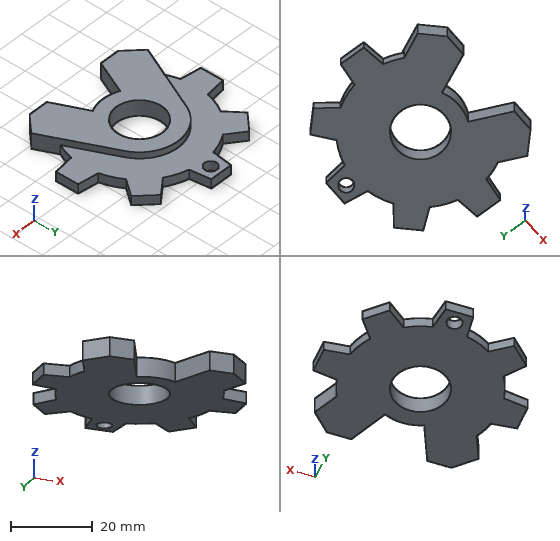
import cadquery as cq
import math

gear_thickness = 3.0
root_radius = 20.65
tip_distance = 26.65
tooth_tip_half_width = 3.65
tooth_root_half_width = 4.5
tooth_root_inset = 16.0
tooth_angles = (0, 45, 90, 135, 180)
pin_hole_diameter = 3.95
pin_hole_distance = 23.25

arm_thickness = 5.0
crown_radius = 12.55
hub_radius = 11.95
bore_diameter = 14.95
gap_top_half_width = 5.05
gap_bottom_half_width = 9.9

arm_corner_far = (tip_distance + tooth_tip_half_width) / math.sqrt(2)
arm_corner_near = (tip_distance - tooth_tip_half_width) / math.sqrt(2)

corner_distance = math.hypot(arm_corner_far, arm_corner_near)
corner_angle = math.atan2(-arm_corner_near, arm_corner_far)
tangent_angle = corner_angle + math.acos(crown_radius / corner_distance)
tangent_x = crown_radius * math.cos(tangent_angle)
tangent_y = crown_radius * math.sin(tangent_angle)


def make_tooth(angle):
    root_distance = math.sqrt(root_radius**2 - tooth_root_half_width**2)
    outline = [
        (tooth_root_inset, -tooth_root_half_width),
        (root_distance, -tooth_root_half_width),
        (tip_distance, -tooth_tip_half_width),
        (tip_distance, tooth_tip_half_width),
        (root_distance, tooth_root_half_width),
        (tooth_root_inset, tooth_root_half_width),
    ]
    tooth = cq.Workplane("XY").polyline(outline).close().extrude(gear_thickness)
    return tooth.rotate((0, 0, 0), (0, 0, 1), angle)


def make_gear():
    gear = cq.Workplane("XY").circle(root_radius).extrude(gear_thickness)
    for angle in tooth_angles:
        gear = gear.union(make_tooth(angle))
    pin_hole = (
        cq.Workplane("XY")
        .center(0, pin_hole_distance)
        .circle(pin_hole_diameter / 2)
        .extrude(gear_thickness)
    )
    return gear.cut(pin_hole)


def make_arm_plate():
    return (
        cq.Workplane("XY")
        .moveTo(tangent_x, tangent_y)
        .threePointArc((0, crown_radius), (-tangent_x, tangent_y))
        .lineTo(-arm_corner_far, -arm_corner_near)
        .lineTo(-arm_corner_near, -arm_corner_far)
        .lineTo(arm_corner_near, -arm_corner_far)
        .lineTo(arm_corner_far, -arm_corner_near)
        .close()
        .extrude(arm_thickness)
    )


def make_arm_gap():
    gap_top = -math.sqrt(hub_radius**2 - gap_top_half_width**2)
    outline = [
        (-gap_top_half_width, gap_top),
        (gap_top_half_width, gap_top),
        (gap_bottom_half_width, -arm_corner_far),
        (-gap_bottom_half_width, -arm_corner_far),
    ]
    gap = cq.Workplane("XY").polyline(outline).close().extrude(arm_thickness)
    hub = cq.Workplane("XY").circle(hub_radius).extrude(arm_thickness)
    return gap.cut(hub)


def make_bore():
    return cq.Workplane("XY").circle(bore_diameter / 2).extrude(arm_thickness)


result = make_gear().union(make_arm_plate()).cut(make_arm_gap()).cut(make_bore())